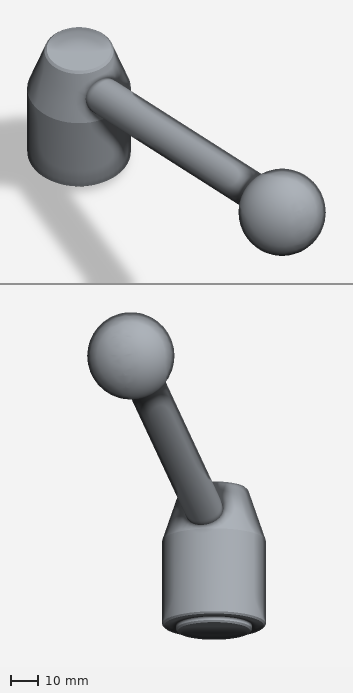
import cadquery as cq
import math

hub_diameter = 38.0
hub_top_diameter = 25.4
hub_bottom_z = 2.0
cone_start_z = 34.0
hub_top_z = 53.6
top_chamfer = 0.8
rim_chamfer = 0.7

foot_diameter = 28.0
foot_chamfer = 0.7

overall_length = 167
overall_height = 88.0
ball_radius = 16.0
ball_x = overall_length - hub_diameter / 2 - ball_radius
ball_z = overall_height - ball_radius

rod_diameter = 14.0
rod_angle = math.radians(15)
rod_start_z = 37.9


def make_hub():
    """Cylinder with a conical top, chamfered rims and a smaller foot."""
    hub_radius = hub_diameter / 2
    top_radius = hub_top_diameter / 2
    foot_radius = foot_diameter / 2
    profile = [
        (0, 0),
        (foot_radius - foot_chamfer, 0),
        (foot_radius, foot_chamfer),
        (foot_radius, hub_bottom_z),
        (hub_radius - rim_chamfer, hub_bottom_z),
        (hub_radius, hub_bottom_z + rim_chamfer),
        (hub_radius, cone_start_z),
        (top_radius, hub_top_z - top_chamfer),
        (top_radius - top_chamfer, hub_top_z),
        (0, hub_top_z),
    ]
    return cq.Workplane("XZ").polyline(profile).close().revolve(360, (0, 0), (0, 1))


def make_rod():
    """Inclined rod from the hub axis into the ball, passing slightly above the ball centre."""
    start = cq.Vector(0, 0, rod_start_z)
    direction = cq.Vector(math.cos(rod_angle), 0, math.sin(rod_angle))
    rod_length = ball_x / math.cos(rod_angle)
    return cq.Solid.makeCylinder(rod_diameter / 2, rod_length, start, direction)


def make_ball():
    return cq.Workplane("XY").sphere(ball_radius).translate((ball_x, 0, ball_z))


result = make_hub().union(make_rod()).union(make_ball())